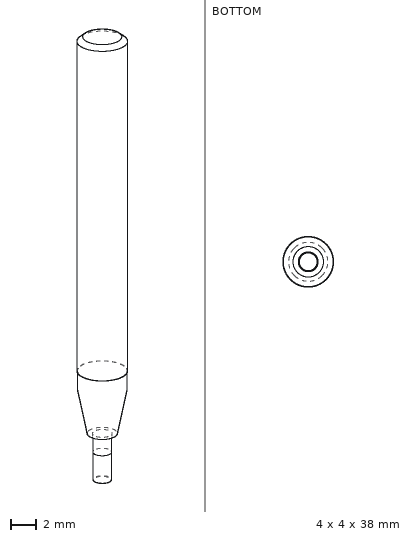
import cadquery as cq

total_length = 38.0
shank_diameter = 4.0
collar_diameter = 3.9
taper_end_diameter = 2.4
tip_diameter = 1.5

tip_length = 2.4
neck_flare_start = 3.5
taper_bottom = 4.0
taper_top = 7.75
collar_top = 9.35

shank_chamfer_height = 0.38
shank_chamfer_width = 0.45
neck_flare_width = 0.05
tip_chamfer = 0.05


def make_shank():
    """Shank with its slightly narrower collar, taper and neck, turned from one half profile."""
    shank_radius = shank_diameter / 2
    collar_radius = collar_diameter / 2
    neck_radius = tip_diameter / 2
    return (
        cq.Workplane("XZ")
        .moveTo(0, tip_length)
        .lineTo(neck_radius, tip_length)
        .lineTo(neck_radius, neck_flare_start)
        .lineTo(neck_radius + neck_flare_width, taper_bottom)
        .lineTo(taper_end_diameter / 2, taper_bottom)
        .lineTo(collar_radius, taper_top)
        .lineTo(collar_radius, collar_top)
        .lineTo(shank_radius, collar_top)
        .lineTo(shank_radius, total_length - shank_chamfer_height)
        .lineTo(shank_radius - shank_chamfer_width, total_length)
        .lineTo(0, total_length)
        .close()
        .revolve(360, (0, 0, 0), (0, 1, 0))
    )


def make_tip():
    """Cylindrical cutting tip that butts against the lower end of the neck."""
    return (
        cq.Workplane("XY")
        .circle(tip_diameter / 2)
        .extrude(tip_length)
        .faces("<Z")
        .edges()
        .chamfer(tip_chamfer)
    )


shank = make_shank()
tip = make_tip()

result = cq.Compound.makeCompound([shank.val(), tip.val()])